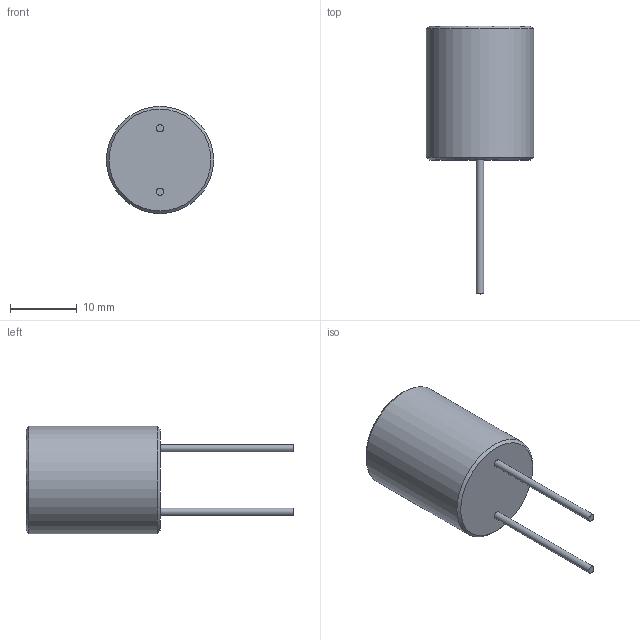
import cadquery as cq

body_diameter = 16.0
body_length = 20.0
edge_chamfer = 0.4

lead_diameter = 1.1
lead_length = 20.0
lead_spacing = 9.5
lead_embed = 1.0


def make_body():
    """Can with both circular rims chamfered."""
    can = cq.Workplane("XZ").circle(body_diameter / 2).extrude(-body_length)
    return can.faces("<Y or >Y").chamfer(edge_chamfer)


def make_lead(height):
    """Round lead at the given Z, starting inside the can."""
    return (
        cq.Workplane("XZ", origin=(0, lead_embed, 0))
        .center(0, height)
        .circle(lead_diameter / 2)
        .extrude(lead_length + lead_embed)
    )


result = make_body()
for side in (-1, 1):
    result = result.union(make_lead(side * lead_spacing / 2))